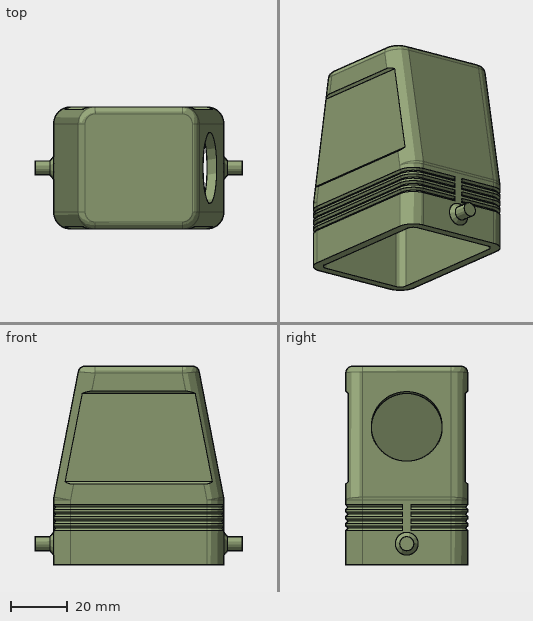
import cadquery as cq
import math

span_over_pins = 73.0
body_length = 60.0
body_depth = 43.0
body_height = 70.0
wall = 3.5

shoulder_height = 23.35
end_lean = 11.0
corner_radius = 6.0
shoulder_radius = 5.0
roof_radius = 2.5

panel_recess = 0.9
panel_bottom = 28.4
panel_top = 61.2

groove_count = 4
groove_pitch = 2.5
groove_depth = 0.8
groove_flank_angle = 45.0
lowest_groove_height = 12.9
groove_gap = 3.0

pin_height = 7.45
pin_radius = 2.5
pin_collar_radius = 4.0
pin_collar_length = 1.3

entry_radius = 12.5
entry_height = 48.8

half_length = body_length / 2
half_depth = body_depth / 2
lean = math.radians(end_lean)


def end_wall_x(height):
    """Outer X of the leaning +X end wall at a height above the shoulder."""
    return half_length - (height - shoulder_height) * math.tan(lean)


def make_shell():
    """Hollow hood, open at the base, with even walls and rounded outer edges."""
    roof_half_length = end_wall_x(body_height)
    outline = [
        (-half_length, 0),
        (half_length, 0),
        (half_length, shoulder_height),
        (roof_half_length, body_height),
        (-roof_half_length, body_height),
        (-half_length, shoulder_height),
    ]
    block = cq.Workplane("XZ").polyline(outline).close().extrude(half_depth, both=True)
    shoulder_edges = block.edges("|Y").edges(">>Z[1]")
    block = shoulder_edges.fillet(shoulder_radius)
    block = block.edges("|Z").fillet(corner_radius)
    shell = block.faces("<Z").shell(-wall)
    return shell.faces(">Z").edges().fillet(roof_radius)


def panel_cutter(side):
    """Recess running the full length of the front (side -1) or back (side +1) wall."""
    outer_y = side * half_depth
    inner_y = side * (half_depth - panel_recess)
    section = [
        (outer_y, panel_bottom),
        (inner_y, panel_bottom + panel_recess),
        (inner_y, panel_top - panel_recess),
        (outer_y, panel_top),
    ]
    return cq.Workplane("YZ").polyline(section).close().extrude(half_length, both=True)


def groove_cutter():
    """V-shaped ring around the skirt, interrupted at the middle of both ends."""
    skirt_outline = cq.Sketch().rect(body_length, body_depth).vertices().fillet(corner_radius)
    lower_core = (
        cq.Workplane("XY", origin=(0, 0, -groove_depth))
        .placeSketch(skirt_outline)
        .extrude(groove_depth, taper=groove_flank_angle)
    )
    core = lower_core.union(lower_core.mirror("XY"))
    groove_width = 2 * groove_depth
    ring = cq.Workplane("XY").box(body_length, body_depth, groove_width).cut(core)
    return ring.cut(cq.Workplane("XY").box(body_length, groove_gap, groove_width))


def make_pin(side):
    """Locking pin with a conical collar, on the -X (side -1) or +X (side +1) end."""
    root_x = half_length - wall / 2
    collar_end = half_length + pin_collar_length
    section = [
        (side * root_x, 0),
        (side * root_x, pin_collar_radius),
        (side * half_length, pin_collar_radius),
        (side * collar_end, pin_radius),
        (side * span_over_pins / 2, pin_radius),
        (side * span_over_pins / 2, 0),
    ]
    pin = cq.Workplane("XY").polyline(section).close().revolve(360, (0, 0), (1, 0))
    return pin.translate((0, 0, pin_height))


def entry_cutter():
    """Round hole through the leaning +X end wall."""
    normal = cq.Vector(math.cos(lean), 0, math.sin(lean))
    centre = cq.Vector(end_wall_x(entry_height), 0, entry_height)
    reach = 2 * wall
    cylinder = cq.Solid.makeCylinder(entry_radius, 2 * reach, centre - normal * reach, normal)
    return cq.Workplane(cylinder)


result = make_shell()

for side in (-1, 1):
    result = result.cut(panel_cutter(side))

groove = groove_cutter()
for index in range(groove_count):
    result = result.cut(groove.translate((0, 0, lowest_groove_height + index * groove_pitch)))

for side in (-1, 1):
    result = result.union(make_pin(side))

result = result.cut(entry_cutter())